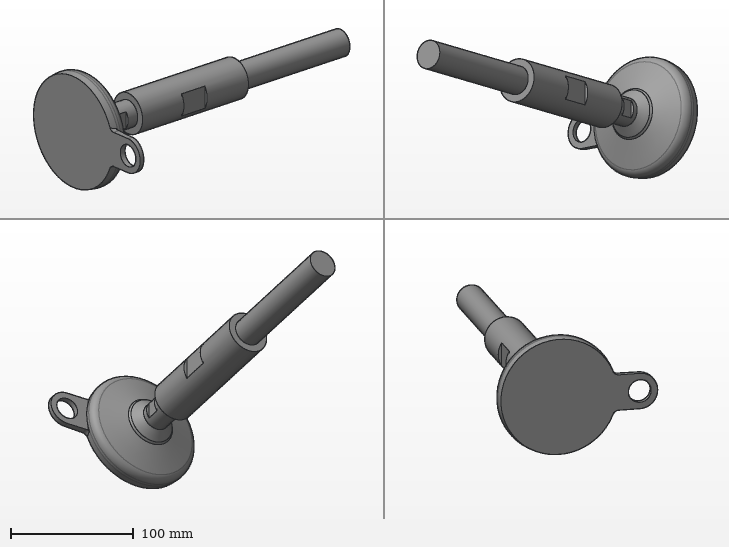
import cadquery as cq
import math

TOTAL_LENGTH = 290.0

PAD_DIAMETER = 100.0
PAD_RADIUS = PAD_DIAMETER / 2
PAD_FLOOR_RADIUS = 49.0
PAD_TAPER_HEIGHT = 6.5
PAD_BAND_HEIGHT = 9.0
PAD_SHOULDER_RADIUS = 7.5
PAD_SLOPE_ANGLE = math.radians(18.4)
COLLAR_BASE_RADIUS = 21.2
COLLAR_TOP_RADIUS = 19.7
COLLAR_HEIGHT = 1.7

TAB_END_RADIUS = 15.0
OVERALL_WIDTH = 133.0
TAB_REACH = OVERALL_WIDTH - PAD_RADIUS
TAB_HOLE_RADIUS = 9.5
TAB_ROOT_FILLET = 5.2
TAB_ROOT_THICKNESS = 5.8
TAB_TIP_THICKNESS = 4.0
ROOT_SEARCH_MARGIN = 3.0

ROD_RADIUS = 12.0
CONE_TOP = 32.5
ROD_FLATS_WIDTH = 18.8
ROD_FLATS_START = 37.0
ROD_FLATS_END = 49.3
BARREL_RADIUS = 18.0
BARREL_START = 59.7
BARREL_END = 174.5
BARREL_FLATS_WIDTH = 30.2
BARREL_FLATS_LENGTH = 25.2

tab_center = TAB_REACH - TAB_END_RADIUS
shoulder_center_x = PAD_RADIUS - PAD_SHOULDER_RADIUS


def shoulder_point(angle):
    """Point on the pad's rounded shoulder, with the angle measured from the floor plane."""
    return (
        shoulder_center_x + PAD_SHOULDER_RADIUS * math.cos(angle),
        PAD_BAND_HEIGHT + PAD_SHOULDER_RADIUS * math.sin(angle),
    )


shoulder_end_angle = math.pi / 2 - PAD_SLOPE_ANGLE
shoulder_end = shoulder_point(shoulder_end_angle)
collar_base = shoulder_end[1] + (shoulder_end[0] - COLLAR_BASE_RADIUS) * math.tan(PAD_SLOPE_ANGLE)
pad_top = collar_base + COLLAR_HEIGHT


def revolve_about_y(profile):
    return profile.close().revolve(360, (0, 0, 0), (0, 1, 0))


def make_tab():
    """Eyelet plate with filleted roots and a top that slopes down to the tip."""
    floor = cq.Workplane("XZ", origin=(0, TAB_ROOT_THICKNESS, 0))
    disc = floor.circle(PAD_FLOOR_RADIUS).extrude(TAB_ROOT_THICKNESS)
    strip = floor.center(tab_center / 2, 0).rect(tab_center, 2 * TAB_END_RADIUS).extrude(TAB_ROOT_THICKNESS)
    eye = floor.center(tab_center, 0).circle(TAB_END_RADIUS).extrude(TAB_ROOT_THICKNESS)

    root_x = math.sqrt(PAD_FLOOR_RADIUS**2 - TAB_END_RADIUS**2)
    near_roots = cq.selectors.BoxSelector(
        (root_x - ROOT_SEARCH_MARGIN, 0, -TAB_REACH),
        (root_x + ROOT_SEARCH_MARGIN, TAB_ROOT_THICKNESS, TAB_REACH),
    )
    plate = disc.union(strip).union(eye).edges("|Y").edges(near_roots).fillet(TAB_ROOT_FILLET)

    slope_waste = (
        cq.Workplane("XY")
        .moveTo(PAD_FLOOR_RADIUS, TAB_ROOT_THICKNESS)
        .lineTo(TAB_REACH, TAB_TIP_THICKNESS)
        .lineTo(TAB_REACH, TAB_ROOT_THICKNESS)
        .close()
        .extrude(TAB_END_RADIUS, both=True)
    )
    hole = floor.center(tab_center, 0).circle(TAB_HOLE_RADIUS).extrude(TAB_ROOT_THICKNESS)
    return plate.cut(slope_waste).cut(hole)


def make_pad():
    profile = (
        cq.Workplane("XY")
        .lineTo(PAD_FLOOR_RADIUS, 0)
        .lineTo(PAD_RADIUS, PAD_TAPER_HEIGHT)
        .lineTo(PAD_RADIUS, PAD_BAND_HEIGHT)
        .threePointArc(shoulder_point(shoulder_end_angle / 2), shoulder_end)
        .lineTo(COLLAR_BASE_RADIUS, collar_base)
        .lineTo(COLLAR_TOP_RADIUS, pad_top)
        .lineTo(0, pad_top)
    )
    return revolve_about_y(profile).union(make_tab())


def cut_flats(body, body_radius, width, start, end):
    """Cut a pair of wrench flats facing +X and -X."""
    depth = body_radius - width / 2
    for side in (-1, 1):
        waste = cq.Workplane("XY").box(depth, end - start, 2 * body_radius)
        body = body.cut(waste.translate((side * (body_radius - depth / 2), (start + end) / 2, 0)))
    return body


def make_spindle():
    """Rod with a conical foot resting on the pad and a thicker barrel along its middle."""
    profile = (
        cq.Workplane("XY")
        .moveTo(0, pad_top)
        .lineTo(COLLAR_TOP_RADIUS, pad_top)
        .lineTo(ROD_RADIUS, CONE_TOP)
        .lineTo(ROD_RADIUS, BARREL_START)
        .lineTo(BARREL_RADIUS, BARREL_START)
        .lineTo(BARREL_RADIUS, BARREL_END)
        .lineTo(ROD_RADIUS, BARREL_END)
        .lineTo(ROD_RADIUS, TOTAL_LENGTH)
        .lineTo(0, TOTAL_LENGTH)
    )
    body = revolve_about_y(profile)
    body = cut_flats(body, ROD_RADIUS, ROD_FLATS_WIDTH, ROD_FLATS_START, ROD_FLATS_END)

    barrel_middle = (BARREL_START + BARREL_END) / 2
    flats_start = barrel_middle - BARREL_FLATS_LENGTH / 2
    flats_end = barrel_middle + BARREL_FLATS_LENGTH / 2
    return cut_flats(body, BARREL_RADIUS, BARREL_FLATS_WIDTH, flats_start, flats_end)


pad = make_pad()
spindle = make_spindle()

result = cq.Compound.makeCompound([pad.val(), spindle.val()])